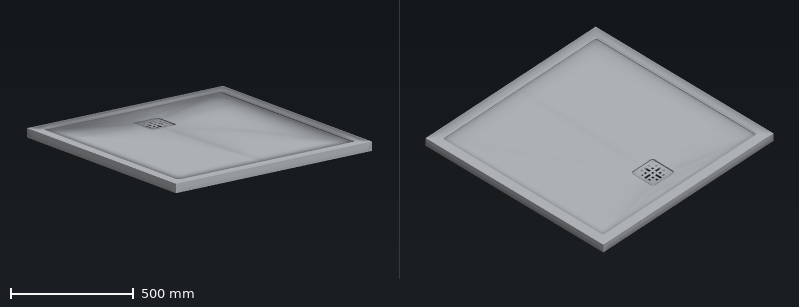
import cadquery as cq

tray_side = 1000.0
tray_height = 40.0

rim_width = 42.0
pocket_side = tray_side - 2 * rim_width
pocket_corner_radius = 20.0
bevel_width = 8.0
bevel_depth = 5.0
floor_edge_depth = 8.0

half_pocket = pocket_side / 2
floor_edge_z = tray_height - floor_edge_depth

drain_x = -300.0
drain_floor_z = 13.0
channel_half_width = 83.0
channel_knee_x = -380.0
channel_knee_rise = 2.0

recess_side = 130.0
recess_corner_radius = 15.0
outlet_diameter = 90.0
grate_side = 122.0
grate_corner_radius = 6.0
grate_thickness = 1.5
grate_top_z = drain_floor_z
grate_bottom_z = grate_top_z - grate_thickness
grate_foot_height = 3.0
recess_floor_z = grate_bottom_z - grate_foot_height

slot_width = 10.0
slot_pitch = 21.0
slot_reach = 2

valley_slope = (floor_edge_z - drain_floor_z) / half_pocket
channel_rise = valley_slope * channel_half_width
channel_edge_z = drain_floor_z + channel_rise
channel_middle_z = channel_edge_z - channel_rise / 2


def section(floor_edge):
    """Closed section from a floor edge up to the top of the tray."""
    start = floor_edge.startPoint()
    end = floor_edge.endPoint()
    top_start = cq.Vector(start.x, start.y, tray_height)
    top_end = cq.Vector(end.x, end.y, tray_height)
    return cq.Wire.assembleEdges(
        [
            floor_edge,
            cq.Edge.makeLine(end, top_end),
            cq.Edge.makeLine(top_end, top_start),
            cq.Edge.makeLine(top_start, start),
        ]
    )


def cross_section(x, middle_z, side):
    """Section across the tray at x, from the middle to the pocket edge on one side."""
    middle = cq.Vector(x, 0, middle_z)
    edge = cq.Vector(x, side * half_pocket, floor_edge_z)
    return section(cq.Edge.makeLine(middle, edge))


def channel_section(y, end_z):
    """Section along the channel at y: steep below the wall, nearly level at the drain."""
    points = [
        cq.Vector(-half_pocket, y, floor_edge_z),
        cq.Vector(channel_knee_x, y, end_z + channel_knee_rise),
        cq.Vector(drain_x, y, end_z),
    ]
    return section(cq.Edge.makeSpline(points))


def wall_section(y):
    """Section along the pocket edge beside the channel, where the floor is level."""
    start = cq.Vector(-half_pocket, y, floor_edge_z)
    return section(cq.Edge.makeLine(start, cq.Vector(drain_x, y, floor_edge_z)))


def floor_patches():
    """Volumes above the five floor patches."""
    patches = []
    for side in (-1, 1):
        main_floor = [
            cross_section(drain_x, drain_floor_z, side),
            cross_section(half_pocket, floor_edge_z, side),
        ]
        side_floor = [
            channel_section(side * channel_half_width, channel_edge_z),
            wall_section(side * half_pocket),
        ]
        patches.append(cq.Solid.makeLoft(main_floor, True))
        patches.append(cq.Solid.makeLoft(side_floor, True))
    channel = [
        channel_section(-channel_half_width, channel_edge_z),
        channel_section(0, channel_middle_z),
        channel_section(channel_half_width, channel_edge_z),
    ]
    patches.append(cq.Solid.makeLoft(channel))
    return patches


def rounded_square(side, corner_radius, bottom_z, height):
    """Square block with rounded upright edges, centred on the Z axis."""
    return (
        cq.Workplane("XY", origin=(0, 0, bottom_z))
        .rect(side, side)
        .extrude(height)
        .edges("|Z")
        .fillet(corner_radius)
    )


def make_pocket_envelope():
    """Bounds of the sunken area: upright base below, bevel widening to the rim."""
    inner_side = pocket_side - 2 * bevel_width
    inner_radius = pocket_corner_radius - bevel_width
    upstand = rounded_square(inner_side, inner_radius, 0, tray_height)
    lower = cq.Sketch().rect(inner_side, inner_side).vertices().fillet(inner_radius)
    upper = cq.Sketch().rect(pocket_side, pocket_side).vertices().fillet(pocket_corner_radius)
    bevel = (
        cq.Workplane("XY", origin=(0, 0, tray_height - bevel_depth))
        .placeSketch(lower, upper.moved(cq.Location(cq.Vector(0, 0, bevel_depth))))
        .loft(ruled=True)
    )
    return upstand.union(bevel)


def make_tray():
    tray = cq.Workplane("XY").box(tray_side, tray_side, tray_height, centered=(True, True, False))
    envelope = make_pocket_envelope()
    for patch in floor_patches():
        tray = tray.cut(envelope.intersect(cq.Workplane(patch)))
    recess = rounded_square(recess_side, recess_corner_radius, recess_floor_z, tray_height)
    outlet = cq.Workplane("XY").circle(outlet_diameter / 2).extrude(tray_height)
    drain = recess.union(outlet).translate((drain_x, 0, 0))
    return tray.cut(drain)


def slot(column, row, length_x=slot_width, length_y=slot_width):
    """Cutter for one opening, placed by its position in the grid."""
    return (
        cq.Workplane("XY", origin=(column * slot_pitch, row * slot_pitch, grate_bottom_z))
        .rect(length_x, length_y)
        .extrude(grate_thickness)
    )


def make_grate():
    grate = rounded_square(grate_side, grate_corner_radius, grate_bottom_z, grate_thickness)
    indices = range(-slot_reach, slot_reach + 1)
    for column in indices:
        for row in indices:
            is_corner = abs(column) == slot_reach and abs(row) == slot_reach
            on_axis = column == 0 or row == 0
            if not is_corner and not on_axis:
                grate = grate.cut(slot(column, row))
    grate = grate.cut(slot(0, 0))
    long_slot = slot_width + (slot_reach - 1) * slot_pitch
    long_centre = (1 + slot_reach) / 2
    for side in (-1, 1):
        grate = grate.cut(slot(side * long_centre, 0, length_x=long_slot))
        grate = grate.cut(slot(0, side * long_centre, length_y=long_slot))
    foot_spacing = 2 * slot_reach * slot_pitch
    feet = (
        cq.Workplane("XY", origin=(0, 0, recess_floor_z))
        .rect(foot_spacing, foot_spacing, forConstruction=True)
        .vertices()
        .rect(slot_width, slot_width)
        .extrude(grate_foot_height)
    )
    grate = grate.union(feet)
    return grate.translate((drain_x, 0, 0))


tray = make_tray()
grate = make_grate()

result = cq.Compound.makeCompound([tray.val(), grate.val()])